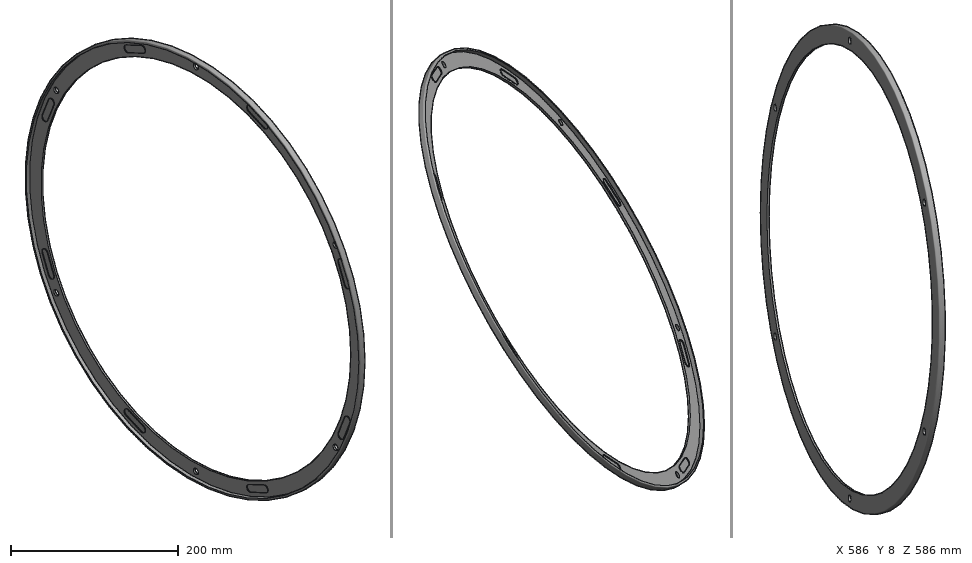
import cadquery as cq

outer_diameter = 586.0
web_diameter = 580.0
inner_diameter = 540.0
thickness = 8.0
rim_edge_radius = 1.0
web_thickness = 3.0
web_front = thickness / 2 - web_thickness

hole_count = 6
hole_diameter = 8.0
hole_circle_radius = 281.0

pocket_count = 8
pocket_length = 38.5
pocket_width = 10.0
pocket_depth = 1.0
pocket_circle_radius = 279.5


def make_ring():
    """Rim with rounded outer edges around a web that is flush with its back."""
    disc = cq.Workplane("XZ").circle(outer_diameter / 2).extrude(thickness / 2, both=True)
    disc = disc.edges().fillet(rim_edge_radius)
    recess = cq.Workplane("XZ", origin=(0, web_front, 0)).circle(web_diameter / 2).extrude(thickness)
    bore = cq.Workplane("XZ").circle(inner_diameter / 2).extrude(thickness, both=True)
    return disc.cut(recess).cut(bore)


def make_holes():
    """Cutters for the through holes."""
    return (
        cq.Workplane("XZ")
        .polarArray(hole_circle_radius, 90, 360, hole_count)
        .circle(hole_diameter / 2)
        .extrude(thickness, both=True)
    )


def make_pockets():
    """Cutters for the pockets, placed half a pitch away from the top."""
    half_pitch = 180 / pocket_count
    return (
        cq.Workplane("XZ", origin=(0, web_front, 0))
        .polarArray(pocket_circle_radius, half_pitch, 360, pocket_count)
        .slot2D(pocket_length, pocket_width, 90)
        .extrude(-pocket_depth)
    )


result = make_ring().cut(make_holes()).cut(make_pockets())